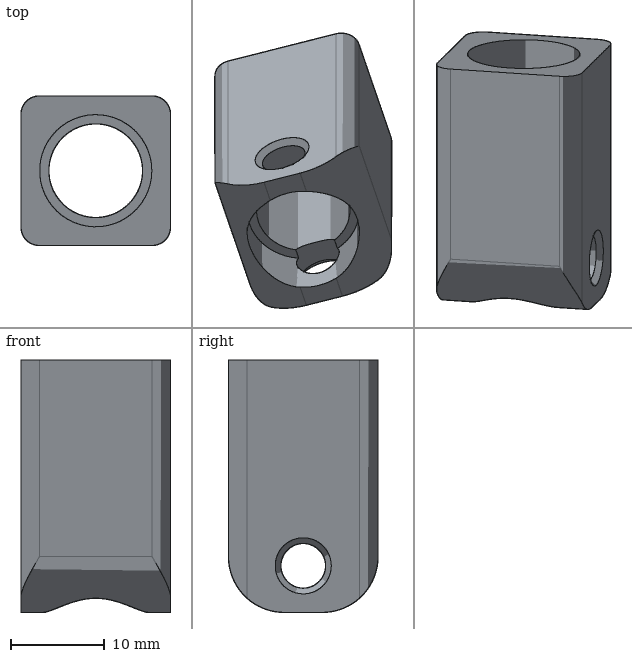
import cadquery as cq

height = 27.0
width = 16.0
corner_radius = 2.0
bottom_radius = 6.0

bore_diameter = 10.0
mouth_diameter = 12.0
top_mouth_depth = 4.0
bottom_mouth_depth = 6.0

cross_diameter = 4.75
countersink_diameter = 6.0
cross_height = 5.0
countersink_depth = (countersink_diameter - cross_diameter) / 2


def make_body():
    """Upright block, rounded along X at its two lower edges."""
    block = cq.Workplane("XY").box(width, width, height, centered=(True, True, False))
    block = block.edges("|Z").fillet(corner_radius)
    envelope = cq.Workplane("XY").box(width, width, height, centered=(True, True, False))
    envelope = envelope.edges("|X and <Z").fillet(bottom_radius)
    return block.intersect(envelope)


def make_bore():
    """Through bore with a stepped mouth at each end."""
    bore = cq.Workplane("XY").circle(bore_diameter / 2).extrude(height)
    bottom_mouth = cq.Workplane("XY").circle(mouth_diameter / 2).extrude(bottom_mouth_depth)
    top_mouth = (
        cq.Workplane("XY", origin=(0, 0, height))
        .circle(mouth_diameter / 2)
        .extrude(-top_mouth_depth)
    )
    return bore.union(bottom_mouth).union(top_mouth)


def make_cross_hole():
    """Hole along X with a conical countersink at each end, as one turned profile."""
    half_width = width / 2
    cone_start = half_width - countersink_depth
    profile = (
        cq.Workplane("XY", origin=(0, 0, cross_height))
        .moveTo(-half_width, 0)
        .lineTo(-half_width, countersink_diameter / 2)
        .lineTo(-cone_start, cross_diameter / 2)
        .lineTo(cone_start, cross_diameter / 2)
        .lineTo(half_width, countersink_diameter / 2)
        .lineTo(half_width, 0)
        .close()
    )
    return profile.revolve(360, (0, 0, 0), (1, 0, 0))


result = make_body().cut(make_bore()).cut(make_cross_hole())